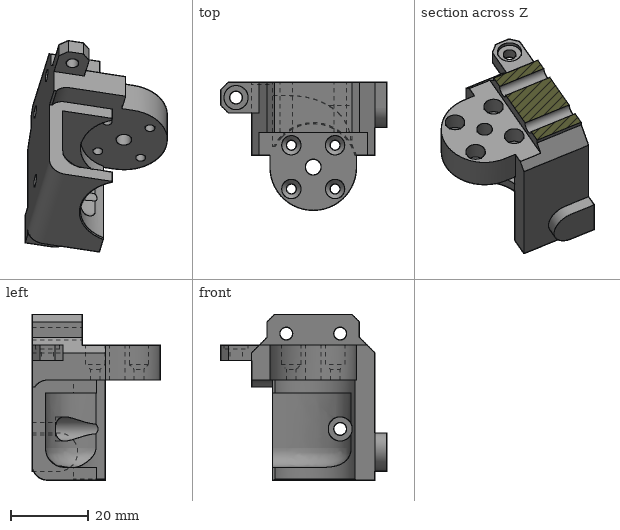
import cadquery as cq
import math


BACK_Y = 22.0
BODY_HALF_WIDTH = 16.0
BODY_FRONT_Y = 3.0
FLANGE_BOTTOM_Z = 26.0
FLANGE_TOP_Z = 35.0
SHOULDER_CHAMFER = 2.0
BORE_RADIUS = 11.25

BLOCK_TOP_Z = 43.0
BLOCK_HALF_WIDTH = 12.0
BLOCK_DEPTH = 13.0
BLOCK_CHAMFER = 2.0

HOUSING_LEFT_X = -10.55
LEFT_WALL_FRONT_Y = 5.35
HOUSING_CORNER_RADIUS = 4.1
OVERHANG_BOTTOM_Z = 24.15
BORE_CHAMFER = 0.3

POCKET_WALL = 3.35
POCKET_BACK_Y = 18.55
POCKET_FLAT_END_X = -6.95
POCKET_RIGHT_X = 9.82
POCKET_CURVE_MIDDLE = (3.88, 16.0)
POCKET_FILLET = 5.0

SCREW_DIAMETER = 3.25
SCREW_HEAD_DIAMETER = 6.25
SCREW_X = 7.0
BLOCK_SCREW_Z = 38.0
POCKET_SCREW_Z = 13.3
POCKET_SCREW_SEAT_Y = 15.95
CENTER_HOLE_DIAMETER = 4.0
BOLT_CIRCLE_RADIUS = 8.0
BOLT_DIAMETER = 2.5
BOLT_HEAD_DIAMETER = 5.0
BOLT_HEAD_DEPTH = 5.0

TAB_LEFT_X = -24.0
TAB_THICKNESS = 4.0
TAB_WIDTH = 8.0
TAB_CHAMFER = 2.03
TAB_HOLE_X = -20.0
TAB_RECESS_DEPTH = 1.0

BOSS_RIGHT_X = 19.1
BOSS_RADIUS = 5.0
BOSS_Y = 15.2
BOSS_Z = 7.33


def box(x0, x1, y0, y1, z0, z1):
    """Box between opposite corner coordinates."""
    return cq.Workplane("XY").box(x1 - x0, y1 - y0, z1 - z0, centered=False).translate((x0, y0, z0))


def vertical_cylinder(diameter, z0, z1, x=0, y=0):
    return cq.Workplane("XY", origin=(x, y, z0)).circle(diameter / 2).extrude(z1 - z0)


def cylinder_along_y(diameter, y0, y1, x, z):
    return cq.Workplane("XZ", origin=(x, y1, z)).circle(diameter / 2).extrude(y1 - y0)


def make_housing():
    """Lower housing with rounded back edges, before the bore is cut."""
    housing = box(HOUSING_LEFT_X, BODY_HALF_WIDTH, BODY_FRONT_Y, BACK_Y, 0, FLANGE_BOTTOM_Z)
    housing = housing.edges("|X and >Y and <Z").fillet(HOUSING_CORNER_RADIUS)
    return housing.cut(box(HOUSING_LEFT_X, 0, BODY_FRONT_Y, LEFT_WALL_FRONT_Y, 0, FLANGE_BOTTOM_Z))


def make_overhang():
    """Underside strip left of the housing, relieved by a rounded corner."""
    strip = box(-BODY_HALF_WIDTH, HOUSING_LEFT_X, BODY_FRONT_Y, BACK_Y, OVERHANG_BOTTOM_Z, FLANGE_BOTTOM_Z)
    relief = box(-BODY_HALF_WIDTH, HOUSING_LEFT_X, BODY_FRONT_Y, BACK_Y, 0, FLANGE_BOTTOM_Z)
    return strip.cut(relief.edges("|X and >Y and >Z").fillet(HOUSING_CORNER_RADIUS))


def make_upper_body():
    """Flange body and clamp block sharing the sloped shoulders."""
    shoulder_run = BODY_HALF_WIDTH - BLOCK_HALF_WIDTH
    shoulder_low_z = FLANGE_TOP_Z - SHOULDER_CHAMFER
    right_side = [
        (BODY_HALF_WIDTH, FLANGE_BOTTOM_Z),
        (BODY_HALF_WIDTH, shoulder_low_z),
        (BLOCK_HALF_WIDTH, shoulder_low_z + shoulder_run),
        (BLOCK_HALF_WIDTH, BLOCK_TOP_Z - BLOCK_CHAMFER),
        (BLOCK_HALF_WIDTH - BLOCK_CHAMFER, BLOCK_TOP_Z),
    ]
    left_side = [(-x, z) for x, z in reversed(right_side)]
    body = (
        cq.Workplane("XZ", origin=(0, BACK_Y, 0))
        .polyline(right_side + left_side)
        .close()
        .extrude(BACK_Y - BODY_FRONT_Y)
    )
    step = box(
        -BODY_HALF_WIDTH, BODY_HALF_WIDTH, BODY_FRONT_Y, BACK_Y - BLOCK_DEPTH, FLANGE_TOP_Z, BLOCK_TOP_Z
    )
    flange = vertical_cylinder(2 * BORE_RADIUS, FLANGE_BOTTOM_Z, FLANGE_TOP_Z).union(
        box(-BORE_RADIUS, BORE_RADIUS, 0, BODY_FRONT_Y, FLANGE_BOTTOM_Z, FLANGE_TOP_Z)
    )
    return body.cut(step).union(flange)


def make_tab():
    """Chamfered screw tab at the upper left."""
    tab = box(
        TAB_LEFT_X, -BLOCK_HALF_WIDTH, BACK_Y - TAB_WIDTH, BACK_Y, FLANGE_TOP_Z - TAB_THICKNESS, FLANGE_TOP_Z
    )
    return tab.edges("|Z and <X").chamfer(TAB_CHAMFER)


def make_boss():
    """Right boss with a round front end and a flat back."""
    round_end = cq.Workplane("YZ", origin=(BODY_HALF_WIDTH, BOSS_Y, BOSS_Z)).circle(BOSS_RADIUS)
    round_end = round_end.extrude(BOSS_RIGHT_X - BODY_HALF_WIDTH)
    return round_end.union(
        box(BODY_HALF_WIDTH, BOSS_RIGHT_X, BOSS_Y, BACK_Y, BOSS_Z - BOSS_RADIUS, BOSS_Z + BOSS_RADIUS)
    )


def make_bore():
    """Vertical bore, chamfered at its lower mouth."""
    bore = vertical_cylinder(2 * BORE_RADIUS, 0, FLANGE_BOTTOM_Z)
    mouth = cq.Workplane("XY").circle(BORE_RADIUS + BORE_CHAMFER)
    mouth = mouth.workplane(offset=BORE_CHAMFER).circle(BORE_RADIUS).loft(ruled=True)
    return bore.union(mouth)


def make_pocket():
    """Pocket open to the left and the bore, with a curved wall and a rounded lower edge."""
    open_left_x = HOUSING_LEFT_X - POCKET_FILLET
    curve_end = (POCKET_FLAT_END_X, POCKET_BACK_Y)
    open_front_y = -POCKET_FILLET
    pocket = (
        cq.Workplane("XY", origin=(0, 0, POCKET_WALL))
        .moveTo(open_left_x, open_front_y)
        .lineTo(POCKET_RIGHT_X, open_front_y)
        .lineTo(POCKET_RIGHT_X, LEFT_WALL_FRONT_Y)
        .spline([POCKET_CURVE_MIDDLE, curve_end], tangents=[(0, 1), (-1, 0)], includeCurrent=True)
        .lineTo(open_left_x, POCKET_BACK_Y)
        .close()
        .extrude(FLANGE_BOTTOM_Z - 2 * POCKET_WALL)
    )
    return pocket.faces("<Z").edges(">Y or >X or %BSPLINE").fillet(POCKET_FILLET)


def make_flange_bolt(x, y):
    """Through hole with a deep head bore ending in a 90 degree cone."""
    cone_top_z = FLANGE_TOP_Z - BOLT_HEAD_DEPTH
    cone_depth = (BOLT_HEAD_DIAMETER - BOLT_DIAMETER) / 2
    cone = cq.Workplane("XY", origin=(x, y, cone_top_z)).circle(BOLT_HEAD_DIAMETER / 2)
    cone = cone.workplane(offset=-cone_depth).circle(BOLT_DIAMETER / 2).loft(ruled=True)
    hole = vertical_cylinder(BOLT_DIAMETER, FLANGE_BOTTOM_Z, FLANGE_TOP_Z, x, y)
    head = vertical_cylinder(BOLT_HEAD_DIAMETER, cone_top_z, FLANGE_TOP_Z, x, y)
    return hole.union(head).union(cone)


result = make_upper_body().union(make_overhang()).union(make_housing()).union(make_tab()).union(make_boss())
result = result.cut(make_bore()).cut(make_pocket())

result = result.cut(vertical_cylinder(CENTER_HOLE_DIAMETER, FLANGE_BOTTOM_Z, FLANGE_TOP_Z))
for angle in (45, 135, 225, 315):
    bolt_x = BOLT_CIRCLE_RADIUS * math.cos(math.radians(angle))
    bolt_y = BOLT_CIRCLE_RADIUS * math.sin(math.radians(angle))
    result = result.cut(make_flange_bolt(bolt_x, bolt_y))

for screw_x in (-SCREW_X, SCREW_X):
    result = result.cut(cylinder_along_y(SCREW_DIAMETER, 0, BACK_Y, screw_x, BLOCK_SCREW_Z))

result = result.cut(cylinder_along_y(SCREW_DIAMETER, 0, BACK_Y, SCREW_X, POCKET_SCREW_Z))
result = result.cut(cylinder_along_y(SCREW_HEAD_DIAMETER, 0, POCKET_SCREW_SEAT_Y, SCREW_X, POCKET_SCREW_Z))

tab_hole_y = BACK_Y - TAB_WIDTH / 2
tab_bottom_z = FLANGE_TOP_Z - TAB_THICKNESS
recess_z = FLANGE_TOP_Z - TAB_RECESS_DEPTH
result = result.cut(vertical_cylinder(SCREW_DIAMETER, tab_bottom_z, FLANGE_TOP_Z, TAB_HOLE_X, tab_hole_y))
result = result.cut(vertical_cylinder(SCREW_HEAD_DIAMETER, recess_z, FLANGE_TOP_Z, TAB_HOLE_X, tab_hole_y))